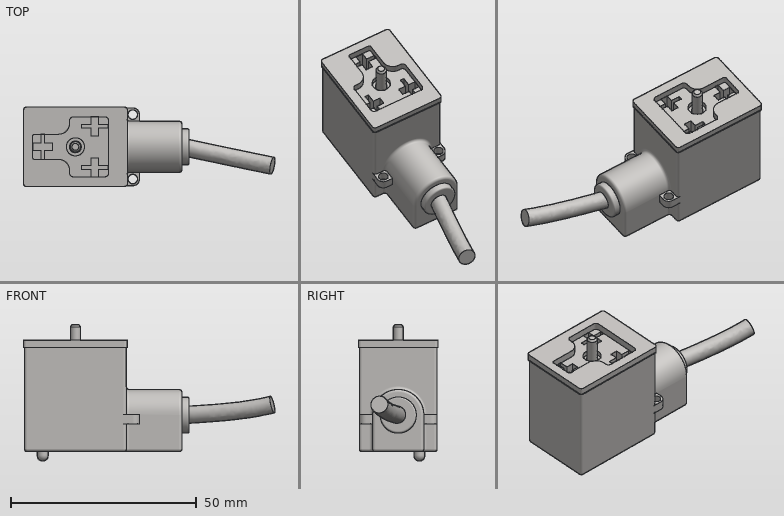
import cadquery as cq


gasket_length = 28.0
gasket_width = 21.5
gasket_thickness = 2.0
gasket_corner_radius = 0.8
window_left = -11.5
window_step = -1.55
window_right = 8.95
window_wide_half = 8.05
window_narrow_half = 3.4
window_wide_radius = 0.95
window_narrow_radius = 0.5
window_step_radius = 3.0

gasket_overhang = 0.24
block_length = gasket_length - 2 * gasket_overhang
block_width = gasket_width - 2 * gasket_overhang
block_height = 28.0
edge_radius = 0.8
bottom_edge_radius = 0.7
block_end = block_length / 2

nose_end = 28.75
nose_radius = 6.9
nose_axis_z = -18.15
collar_length = 1.9
collar_diameter = 9.75
collar_edge_radius = 0.5

ear_hole_diameter = 2.5
ear_radius = 1.8
ear_hole_x = 15.45
ear_hole_y = block_width / 2 - ear_radius
ear_top = -17.95
ear_thickness = 2.6

blade_length = 7.05
blade_width = 1.0
key_length = 5.15
key_width = 2.0
socket_depth = 5.4
line_socket_x = 5.2
line_socket_y = 5.55
earth_socket_x = -8.8

screw_diameter = 2.8
screw_top = 6.25
screw_depth = 13.55
screw_chamfer_width = 0.5
screw_chamfer_height = 0.6
screw_hole_diameter = 3.2
screw_recess_diameter = 4.9
screw_recess_depth = 1.35

lamp_diameter = 3.0
lamp_cylinder_length = 1.1
lamp_x = earth_socket_x
lamp_y = 5.7

cable_diameter = 4.7
cable_end = (53.05, -5.1, -15.3)
cable_start_direction = (1, -0.21, 0.06)
cable_end_direction = (1, -0.20, 0.25)


def near_point(x, y):
    """Selects the vertical edge that stands at (x, y)."""
    reach = 0.1
    return cq.selectors.BoxSelector(
        (x - reach, y - reach, -block_height), (x + reach, y + reach, block_height)
    )


def disc(x, y, top, diameter, depth):
    """A vertical cylinder that hangs down from the height `top`."""
    return cq.Workplane("XY", origin=(x, y, top)).circle(diameter / 2).extrude(-depth)


def make_window():
    wide_length = window_right - window_step
    narrow_length = window_right - window_left
    wide = cq.Workplane("XY").center(window_right - wide_length / 2, 0)
    wide = wide.rect(wide_length, 2 * window_wide_half).extrude(gasket_thickness)
    narrow = cq.Workplane("XY").center(window_right - narrow_length / 2, 0)
    narrow = narrow.rect(narrow_length, 2 * window_narrow_half).extrude(gasket_thickness)
    window = wide.union(narrow)
    for side in (-1, 1):
        corners = (
            (window_left, side * window_narrow_half, window_narrow_radius),
            (window_step, side * window_narrow_half, window_step_radius),
            (window_step, side * window_wide_half, window_wide_radius),
            (window_right, side * window_wide_half, window_wide_radius),
        )
        for x, y, radius in corners:
            window = window.edges(near_point(x, y)).fillet(radius)
    return window


def make_gasket():
    plate = cq.Workplane("XY").rect(gasket_length, gasket_width).extrude(gasket_thickness)
    plate = plate.edges("|Z").fillet(gasket_corner_radius)
    return plate.cut(make_window())


def make_block():
    block = cq.Workplane("XY").rect(block_length, block_width).extrude(-block_height)
    return block.edges("|Z").fillet(edge_radius)


def make_nose():
    nose = (
        cq.Workplane("YZ")
        .moveTo(-nose_radius, -block_height)
        .lineTo(-nose_radius, nose_axis_z)
        .threePointArc((0, nose_axis_z + nose_radius), (nose_radius, nose_axis_z))
        .lineTo(nose_radius, -block_height)
        .close()
        .extrude(nose_end)
    )
    return nose.faces(">X").edges("not <Z").fillet(edge_radius)


def join_nose(block, nose):
    """Joins the nose to the block with a fillet between them and rounds the bottom outline."""
    body = block.union(nose)
    reach = 0.1
    junction = cq.selectors.BoxSelector(
        (block_end - reach, -nose_radius - reach, -block_height - reach),
        (block_end + reach, nose_radius + reach, nose_axis_z + nose_radius + reach),
    )
    body = body.edges(junction).fillet(edge_radius)
    return body.faces("<Z").edges().fillet(bottom_edge_radius)


def make_collar():
    collar = cq.Workplane("YZ", origin=(nose_end, 0, nose_axis_z))
    collar = collar.circle(collar_diameter / 2).extrude(collar_length)
    return collar.faces(">X").edges().fillet(collar_edge_radius)


def make_cable():
    start = (nose_end, 0, nose_axis_z)
    path = cq.Workplane("XY").spline(
        [start, cable_end],
        tangents=[cq.Vector(cable_start_direction), cq.Vector(cable_end_direction)],
    )
    section = cq.Workplane(cq.Plane(start, normal=cable_start_direction))
    return section.circle(cable_diameter / 2).sweep(path)


def make_ear(side):
    """An ear that reaches from inside the block to its rounded outer corner, flush with the block side."""
    ear_end = ear_hole_x + ear_radius
    ear_start = block_end - edge_radius
    ear = cq.Workplane("XY", origin=(0, 0, ear_top))
    ear = ear.center((ear_start + ear_end) / 2, side * block_width / 4)
    ear = ear.rect(ear_end - ear_start, block_width / 2).extrude(-ear_thickness)
    return ear.edges(near_point(ear_end, side * block_width / 2)).fillet(ear_radius)


def make_socket(x, y, angle):
    """A cross-shaped pocket whose blade slot lies along X before it turns by `angle` degrees."""
    plane = cq.Workplane("XY")
    blade_slot = plane.rect(blade_length, blade_width).extrude(-socket_depth)
    key_slot = plane.rect(key_width, key_length).extrude(-socket_depth)
    return blade_slot.union(key_slot).rotate((0, 0, 0), (0, 0, 1), angle).translate((x, y, 0))


def make_housing():
    housing = join_nose(make_block(), make_nose())
    housing = housing.union(make_collar()).union(make_cable())
    for side in (-1, 1):
        housing = housing.union(make_ear(side))
        housing = housing.cut(disc(ear_hole_x, side * ear_hole_y, ear_top, ear_hole_diameter, ear_thickness))
        housing = housing.cut(make_socket(line_socket_x, side * line_socket_y, 0))
    housing = housing.cut(make_socket(earth_socket_x, 0, 90))
    housing = housing.cut(disc(0, 0, 0, screw_recess_diameter, screw_recess_depth))
    return housing.cut(disc(0, 0, 0, screw_hole_diameter, screw_depth))


def make_screw():
    """The screw stands on the floor of its hole."""
    screw_radius = screw_diameter / 2
    return (
        cq.Workplane("XZ")
        .moveTo(0, -screw_depth)
        .lineTo(screw_radius, -screw_depth)
        .lineTo(screw_radius, screw_top - screw_chamfer_height)
        .lineTo(screw_radius - screw_chamfer_width, screw_top)
        .lineTo(0, screw_top)
        .close()
        .revolve(360, (0, 0), (0, 1))
    )


def make_lamp():
    """The lamp rests against the underside of the block."""
    lamp_radius = lamp_diameter / 2
    tip_z = -lamp_cylinder_length - lamp_radius
    return (
        cq.Workplane("XZ")
        .lineTo(lamp_radius, 0)
        .lineTo(lamp_radius, -lamp_cylinder_length)
        .radiusArc((0, tip_z), lamp_radius)
        .close()
        .revolve(360, (0, 0), (0, 1))
        .translate((lamp_x, lamp_y, -block_height))
    )


housing = make_housing().solids()
gasket = make_gasket().solids()
screw = make_screw()
lamp = make_lamp()
result = cq.Compound.makeCompound([housing.val(), gasket.val(), screw.val(), lamp.val()])